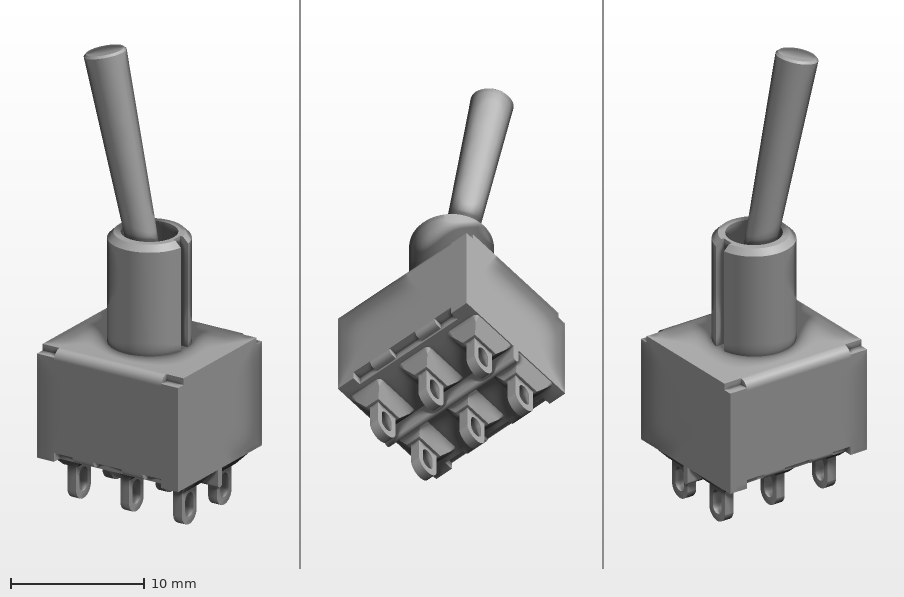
import cadquery as cq
import math


overall_height = 35.8
width = 12.7
depth = 11.42

housing_height = 8.95
cover_width = 9.65
cover_edge_radius = 0.75
corner_notch_depth = 0.55
cover_bottom = 0.7
tab_width = 1.9
tab_spacing = 4.45
tab_bottom = 0.2
tab_bend_radius = 0.45
tab_root_height = 4.3

bushing_diameter = 6.37
bushing_height = 8.85
bushing_chamfer = 0.45
bore_diameter = 4.35
keyway_width = 1.0
keyway_floor_radius = 2.45

lever_tilt = 13.0
pivot_height = 14.07
ball_radius = 2.05
lever_neck_radius = 1.18
lever_rim_radius = 1.65
lever_tip_chamfer = 0.18

terminal_pitch = 4.75
terminal_thickness = 0.8
terminal_width = 2.0
terminal_length = 3.95
terminal_end_rise = 0.85
eye_width = 1.1
eye_length = 1.95
eye_depth = 2.35
seal_height = 1.0
seal_top_margin = 1.1
seal_bottom_margin = 0.2
seal_corner_radius = 0.35

barrier_thickness = 0.55
barrier_depth = 1.5

bushing_top = housing_height + bushing_height
lever_top = overall_height - terminal_length


def block(x_size, y_size, bottom, top, x=0.0):
    """Upright box centred on y = 0 between two heights."""
    return (
        cq.Workplane("XY", origin=(x, 0, bottom))
        .rect(x_size, y_size)
        .extrude(top - bottom)
    )


def make_housing():
    """Body whose cover rounds over the front and back and folds under in tabs."""
    side_width = (width - cover_width) / 2
    core = block(width, depth - 2 * cover_edge_radius, 0, housing_height)
    cover = (
        block(cover_width, depth, cover_bottom, housing_height)
        .edges("|X and >Z")
        .fillet(cover_edge_radius)
    )
    housing = core.union(cover)
    for side in (-1, 1):
        x = side * (width - side_width) / 2
        side_block = block(side_width, depth, 0, housing_height - corner_notch_depth, x)
        tabs = (
            block(tab_width, depth, tab_bottom, tab_root_height, side * tab_spacing / 2)
            .edges("|X and <Z")
            .fillet(tab_bend_radius)
        )
        housing = housing.union(side_block).union(tabs)
    return housing


def make_bushing():
    """Chamfered tube with a keyway, its bore stopping at the lever's pivot."""
    radius = bushing_diameter / 2
    bushing = (
        cq.Workplane("XY", origin=(0, 0, housing_height))
        .circle(radius)
        .extrude(bushing_height)
        .faces(">Z")
        .chamfer(bushing_chamfer)
    )
    bore = (
        cq.Workplane("XY", origin=(0, 0, pivot_height))
        .circle(bore_diameter / 2)
        .extrude(bushing_top - pivot_height)
    )
    keyway = block(
        radius, keyway_width, housing_height, bushing_top, x=keyway_floor_radius + radius / 2
    )
    return bushing.cut(bore).cut(keyway)


def make_lever():
    """Ball and flared lever, revolved upright and then tilted toward -X."""
    tilt = math.radians(lever_tilt)
    face_radius = lever_rim_radius - lever_tip_chamfer
    length = (lever_top - pivot_height - face_radius * math.sin(tilt)) / math.cos(tilt)
    neck_height = math.sqrt(ball_radius**2 - lever_neck_radius**2)
    lever = (
        cq.Workplane("XZ")
        .moveTo(0, -ball_radius)
        .threePointArc((ball_radius, 0), (lever_neck_radius, neck_height))
        .lineTo(lever_rim_radius, length - lever_tip_chamfer)
        .lineTo(face_radius, length)
        .lineTo(0, length)
        .close()
        .revolve(360, (0, 0, 0), (0, 1, 0))
    )
    return lever.rotate((0, 0, 0), (0, 1, 0), -lever_tilt).translate((0, 0, pivot_height))


def make_terminal():
    """Round-ended lug with an eye, plus the tapered seal around its root."""
    half_width = terminal_width / 2
    end_start = terminal_end_rise - terminal_length
    lug = (
        cq.Workplane("YZ")
        .moveTo(-half_width, 0)
        .lineTo(-half_width, end_start)
        .threePointArc((0, -terminal_length), (half_width, end_start))
        .lineTo(half_width, 0)
        .close()
        .extrude(terminal_thickness / 2, both=True)
    )
    eye = (
        cq.Workplane("YZ", origin=(0, 0, -eye_depth))
        .slot2D(eye_length, eye_width, 90)
        .extrude(terminal_thickness, both=True)
    )
    taper = math.degrees(math.atan2(seal_top_margin - seal_bottom_margin, seal_height))
    seal = (
        cq.Workplane("XY")
        .sketch()
        .rect(terminal_thickness + 2 * seal_top_margin, terminal_width + 2 * seal_top_margin)
        .vertices()
        .fillet(seal_corner_radius)
        .finalize()
        .extrude(-seal_height, taper=taper)
    )
    return lug.cut(eye).union(seal)


def make_barrier():
    """Full-width rib with a rounded lower edge."""
    half = barrier_thickness / 2
    return (
        cq.Workplane("YZ")
        .moveTo(-half, 0)
        .lineTo(-half, half - barrier_depth)
        .threePointArc((0, -barrier_depth), (half, half - barrier_depth))
        .lineTo(half, 0)
        .close()
        .extrude(width / 2, both=True)
    )


result = make_housing().union(make_bushing()).union(make_lever()).union(make_barrier())
terminal = make_terminal()
for column in (-1, 0, 1):
    for row in (-0.5, 0.5):
        position = (column * terminal_pitch, row * terminal_pitch, 0)
        result = result.union(terminal.translate(position))